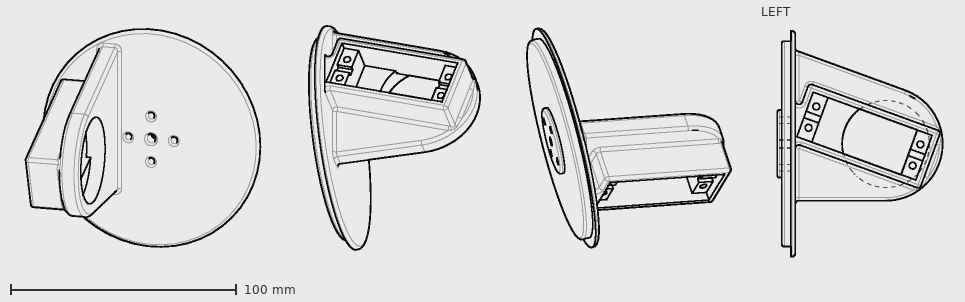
import cadquery as cq
import math

flange_diameter = 100
flange_thickness = 2
flange_round = 1.5
disc_diameter = 91
disc_thickness = 4
hub_diameter = 30
hub_thickness = 2
base_thickness = flange_thickness + disc_thickness + hub_thickness
back_round = 1

center_hole_diameter = 4
screw_hole_diameter = 3
screw_circle_radius = 10.5
screw_count = 4
hole_round = 1

arm_right_x = -15
arm_thickness = 8.5
arm_left_x = arm_right_x - arm_thickness
bore_y = -40
bore_diameter = 38.5
bore_skin = 2
nose_radius = 25.25
tilt = math.radians(20)
edge_round = 1.5

u_axis = cq.Vector(0, -math.cos(tilt), -math.sin(tilt))
pocket_length = 56
pocket_width = 21
pocket_center_u = -10
wall = 3
box_length = pocket_length + 2 * wall
box_width = pocket_width + 2 * wall
box_height = 16
box_flare_round = 1.6
box_left_x = arm_left_x - box_height
box_right_x = arm_left_x + edge_round

block_length = 7
block_offset_u = (pocket_length - block_length) / 2
block_recess = 4
block_left_x = box_left_x + block_recess
block_hole_diameter = 3
block_hole_spacing = 10
block_hole_depth = 8
groove_width = 3
groove_depth = 2

join_tolerance = 0.01


def y_cylinder(diameter, y_start, length):
    """Cylinder along Y that starts at y_start and grows toward +Y."""
    plane = cq.Plane(origin=(0, y_start, 0), xDir=(1, 0, 0), normal=(0, 1, 0))
    return cq.Workplane(plane).circle(diameter / 2).extrude(length)


def tilted_sketch(x):
    """Sketch plane at the given X with its origin on the bore axis; it extrudes toward -X."""
    return cq.Workplane(cq.Plane(origin=(x, bore_y, 0), xDir=u_axis, normal=(-1, 0, 0)))


def tilted_block(x_left, x_right, center_u, length, width):
    """Block aligned with the tilted box, between two X positions."""
    return tilted_sketch(x_right).center(center_u, 0).rect(length, width).extrude(x_right - x_left)


def make_base():
    flange = y_cylinder(flange_diameter, 0, flange_thickness)
    disc = y_cylinder(disc_diameter, flange_thickness, disc_thickness)
    hub = y_cylinder(hub_diameter, flange_thickness + disc_thickness, hub_thickness)
    flange = flange.faces("<Y").edges().fillet(flange_round)
    disc = disc.faces(">Y").edges().fillet(back_round)
    hub = hub.faces(">Y").edges().fillet(back_round)
    return flange.union(disc).union(hub)


def make_arm():
    """Plate whose sloped top is tangent to the nose and parallel to the box."""
    tangent_y = bore_y - nose_radius * math.sin(tilt)
    tangent_z = nose_radius * math.cos(tilt)
    root_z = tangent_z - tangent_y * math.tan(tilt)
    plate = (
        cq.Workplane("YZ", origin=(arm_left_x, 0, 0))
        .moveTo(0, root_z)
        .lineTo(tangent_y, tangent_z)
        .threePointArc((bore_y - nose_radius, 0), (bore_y, -nose_radius))
        .lineTo(0, -nose_radius)
        .close()
        .extrude(arm_thickness)
    )
    return plate.faces("<X or >X").edges("not >Y").fillet(edge_round)


def make_box():
    """Outer box, sunk into the arm, cut off at the flange front and flared where it meets it."""
    box = tilted_block(box_left_x, box_right_x, pocket_center_u, box_length, box_width)
    box = box.edges("|X").fillet(edge_round)
    slab = (
        cq.Workplane("YZ", origin=(box_left_x, 0, 0))
        .rect(2 * box_length, 2 * flange_diameter)
        .extrude(box_right_x - box_left_x)
        .translate((0, box_length, 0))
    )
    flared = box.union(slab).edges(at_flange_front(box_left_x, box_right_x)).fillet(box_flare_round)
    return flared.faces("<X").edges("not >Y").fillet(edge_round).cut(slab)


def at_flange_front(x_left, x_right):
    """Selector for the edges in the flange front that lie wholly between two X positions."""
    return cq.selectors.BoxSelector(
        (x_left - join_tolerance, -join_tolerance, -flange_diameter / 2),
        (x_right + join_tolerance, join_tolerance, flange_diameter / 2),
        boundingbox=True,
    )


def round_joints(body):
    """Round the inner corners where the flange, arm and box meet."""
    around_arm = at_flange_front(arm_left_x, arm_right_x)
    on_arm = cq.selectors.BoxSelector(
        (arm_left_x - join_tolerance, -flange_diameter, -nose_radius),
        (arm_left_x + join_tolerance, 0, nose_radius),
    )
    along_box = cq.selectors.ParallelDirSelector(u_axis)
    return body.edges(around_arm + (on_arm & along_box)).fillet(edge_round)


def make_pocket():
    """Pocket in the box around the two mounting blocks."""
    pocket = tilted_block(box_left_x, arm_left_x, pocket_center_u, pocket_length, pocket_width)
    for side in (-1, 1):
        pocket = pocket.cut(make_block(pocket_center_u + side * block_offset_u))
    return pocket


def make_block(center_u):
    block = tilted_block(block_left_x, arm_left_x, center_u, block_length, pocket_width)
    groove_floor_x = block_left_x + groove_depth
    groove = tilted_block(block_left_x, groove_floor_x, center_u, block_length, groove_width)
    holes = (
        tilted_sketch(block_left_x + block_hole_depth)
        .center(center_u, 0)
        .rarray(1, block_hole_spacing, 1, 2)
        .circle(block_hole_diameter / 2)
        .extrude(block_hole_depth)
    )
    return block.cut(groove).cut(holes)


def make_bore():
    """Bore open toward +X that leaves a thin skin, which is cut away inside the pocket."""
    bore = (
        cq.Workplane("YZ", origin=(arm_left_x, bore_y, 0))
        .circle(bore_diameter / 2)
        .extrude(arm_thickness)
    )
    open_length = pocket_length - 2 * block_length
    window = tilted_block(arm_left_x, arm_right_x, pocket_center_u, open_length, pocket_width)
    skin = tilted_block(
        arm_left_x, arm_left_x + bore_skin, pocket_center_u, 2 * box_length, 2 * box_length
    )
    return bore.cut(skin.cut(window))


def make_base_holes():
    def rounded_hole(diameter):
        """Hole along Y through the base, flared by a quarter round at the flange front."""
        radius = diameter / 2
        flare = hole_round * (1 - math.sqrt(0.5))
        return (
            cq.Workplane("XY")
            .lineTo(radius + hole_round, 0)
            .threePointArc((radius + flare, flare), (radius, hole_round))
            .lineTo(radius, base_thickness)
            .lineTo(0, base_thickness)
            .close()
            .revolve(360, (0, 0, 0), (0, 1, 0))
        )

    holes = rounded_hole(center_hole_diameter)
    for i in range(screw_count):
        screw_hole = rounded_hole(screw_hole_diameter).translate((screw_circle_radius, 0, 0))
        holes = holes.union(screw_hole.rotate((0, 0, 0), (0, 1, 0), i * 360 / screw_count))
    return holes


body = round_joints(make_base().union(make_arm()).union(make_box()))
result = body.cut(make_pocket()).cut(make_bore()).cut(make_base_holes())